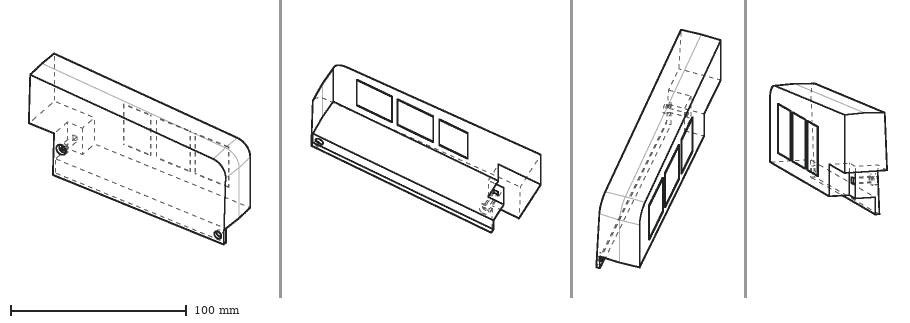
import cadquery as cq
import math

length = 135.6
height = 62.9
body_depth = 26.7
back_half_depth = 12.1
seam_y = body_depth - back_half_depth

top_slope = math.radians(3.0)
corner_radius = 10.0
front_draft = 3.0
back_draft = 2.0

notch_length = 17.4
notch_height = 28.8
lip_height = 10.0
back_notch_length = 27.7

front_lean = 2.6
lean_ratio = front_lean / (height - notch_length * math.tan(top_slope))
lip_back_y = front_lean

screw_x = 22.5
screw_z = 19.5
head_diameter = 6.5
head_floor_y = 3.3
bridge_height = 3.3
bridge_depth = 0.4
shank_width = 2.8

lip_hole_x = 130.7
lip_hole_z = 4.9
lip_hole_diameter = 4.7

pad_spans = [(47.7, 66.3), (70.3, 93.6), (97.0, 120.0)]
pad_bottom = 18.2
pad_top = 46.7
pad_thickness = 0.4

margin = 6.8


def box(x_range, y_range, z_range):
    """Axis-aligned box between the given limits."""
    sizes = [high - low for low, high in (x_range, y_range, z_range)]
    corner = (x_range[0], y_range[0], z_range[0])
    return cq.Workplane("XY").box(*sizes, centered=False).translate(corner)


def front_plane(y):
    """Sketch plane at depth y, with local X along X, local Y along Z and its normal toward -Y."""
    return cq.Workplane("XZ", origin=(0, y, 0))


def drafted_half(depth, draft):
    """Half of the body, drafted from the seam; oversize at the left and bottom for trimming."""
    center_x = length - corner_radius
    center_z = height - center_x * math.tan(top_slope) - corner_radius / math.cos(top_slope)
    arc_start = (
        center_x + corner_radius * math.sin(top_slope),
        center_z + corner_radius * math.cos(top_slope),
    )
    outline = (
        front_plane(seam_y)
        .moveTo(-margin, -margin)
        .lineTo(-margin, height + margin * math.tan(top_slope))
        .lineTo(*arc_start)
        .tangentArcPoint((length, center_z), relative=False)
        .lineTo(length, -margin)
        .close()
    )
    return outline.extrude(depth, taper=draft)


def body_blank():
    """Both drafted halves, trimmed flat at the left and bottom."""
    front_half = drafted_half(seam_y, front_draft)
    back_half = drafted_half(back_half_depth, back_draft).mirror("XZ", (0, seam_y, 0))
    limits = box((0, length + margin), (0, body_depth), (0, height))
    return front_half.union(back_half).intersect(limits)


def front_wedge():
    """Material in front of the leaning face, whose top edge runs along the sloping top."""
    top_fall = length * math.tan(top_slope)
    overrun = height + margin

    def section(x, top):
        y_base = front_lean - top * lean_ratio
        return [
            cq.Vector(x, -margin, 0),
            cq.Vector(x, y_base, 0),
            cq.Vector(x, y_base + overrun * lean_ratio, overrun),
            cq.Vector(x, -margin, overrun),
        ]

    left = cq.Wire.makePolygon(section(0, height), close=True)
    right = cq.Wire.makePolygon(section(length, height - top_fall), close=True)
    return cq.Workplane(obj=cq.Solid.makeLoft([left, right], True))


def screw_hole():
    """Head recess square to the leaning face, a flat-sided slot across its floor, and a through shank."""
    bridge_end = head_floor_y + bridge_depth
    head = front_plane(head_floor_y).center(screw_x, screw_z).circle(head_diameter / 2)
    head = head.extrude(head_floor_y + margin)
    slot = front_plane(bridge_end).center(screw_x, screw_z).circle(head_diameter / 2)
    slot = slot.extrude(bridge_depth)
    slot_limits = box(
        (screw_x - head_diameter, screw_x + head_diameter),
        (head_floor_y, bridge_end),
        (screw_z - bridge_height / 2, screw_z + bridge_height / 2),
    )
    recess = head.union(slot.intersect(slot_limits))
    lean_angle = math.degrees(math.atan(lean_ratio))
    recess = recess.rotate((0, 0, screw_z), (1, 0, screw_z), -lean_angle)
    shank = front_plane(body_depth).center(screw_x, screw_z)
    shank = shank.rect(shank_width, bridge_height).extrude(body_depth - head_floor_y)
    return recess.union(shank)


def lip_hole():
    """Straight hole through the front lip."""
    hole = front_plane(lip_back_y + margin).center(lip_hole_x, lip_hole_z)
    return hole.circle(lip_hole_diameter / 2).extrude(lip_back_y + 2 * margin)


notch = box((-margin, notch_length), (-margin, body_depth + margin), (-margin, notch_height))
back_notch = box((-margin, back_notch_length), (seam_y, body_depth + margin), (-margin, notch_height))
underside = box((-margin, length + margin), (lip_back_y, body_depth + margin), (-margin, lip_height))

result = body_blank().cut(front_wedge()).cut(notch).cut(back_notch).cut(underside)
result = result.cut(screw_hole()).cut(lip_hole())

for pad_left, pad_right in pad_spans:
    pad = box(
        (pad_left, pad_right),
        (body_depth - pad_thickness, body_depth + pad_thickness),
        (pad_bottom, pad_top),
    )
    result = result.union(pad)